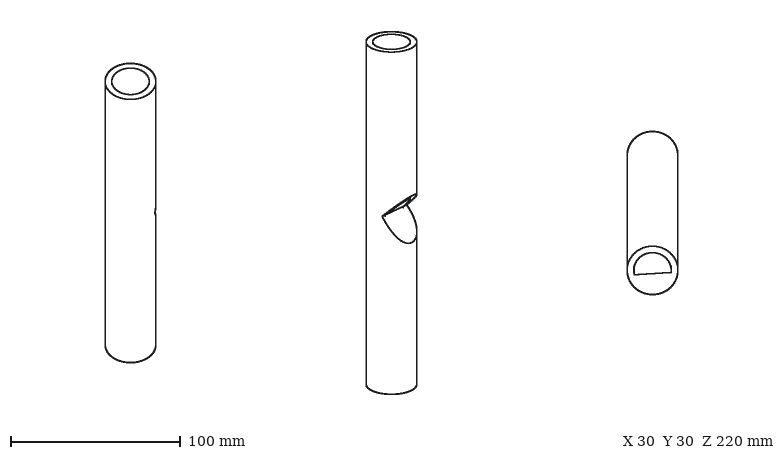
import cadquery as cq

OUTER_DIAMETER = 30.0
BORE_DIAMETER = 22.0
LENGTH = 220.0
OUTER_RADIUS = OUTER_DIAMETER / 2
BOTTOM_Z = -LENGTH / 2

ROOT_Y_AT_LEFT = 0.0
ROOT_Y_AT_RIGHT = 4.0
MOUTH_Y = OUTER_RADIUS
MOUTH_TOP_Z = OUTER_RADIUS
MOUTH_BOTTOM_Z = -OUTER_RADIUS


def notch_section(root_y):
    """Triangle in Y and Z: the root, then the two lips of the mouth."""
    return [(root_y, root_y), (MOUTH_Y, MOUTH_TOP_Z), (MOUTH_Y, MOUTH_BOTTOM_Z)]


def plug_section(root_y):
    """Quadrilateral in Y and Z: from the lower notch face straight down to the tube's end."""
    return [
        (root_y, root_y),
        (MOUTH_Y, MOUTH_BOTTOM_Z),
        (MOUTH_Y, BOTTOM_Z),
        (root_y, BOTTOM_Z),
    ]


def loft_across_tube(section):
    """Ruled loft along X between the sections at the left and right sides of the tube."""
    wires = []
    for x, root_y in [(-OUTER_RADIUS, ROOT_Y_AT_LEFT), (OUTER_RADIUS, ROOT_Y_AT_RIGHT)]:
        corners = [cq.Vector(x, y, z) for y, z in section(root_y)]
        wires.append(cq.Wire.makePolygon(corners, close=True))
    return cq.Workplane(cq.Solid.makeLoft(wires, True))


def make_cylinder(diameter):
    return cq.Workplane("XY").workplane(offset=BOTTOM_Z).circle(diameter / 2).extrude(LENGTH)


notch = loft_across_tube(notch_section)

bore = make_cylinder(BORE_DIAMETER).cut(loft_across_tube(plug_section))

result = make_cylinder(OUTER_DIAMETER).cut(bore).cut(notch)